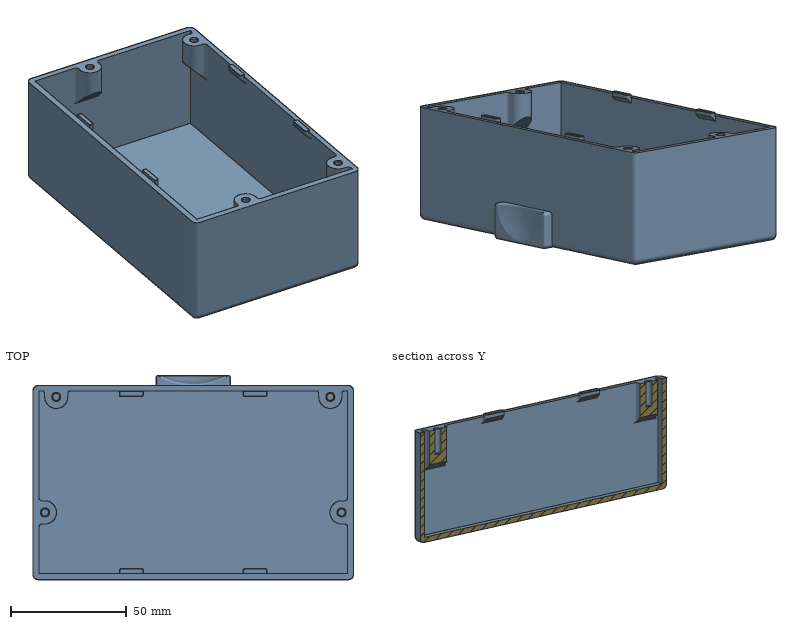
import cadquery as cq

length = 139.0
width = 84.2
rim_height = 49.8
edge_radius = 2.5
wall = 2.8
back_wall = 2.4
floor_thickness = 2.5

inner_back = width / 2 - back_wall
inner_front = -width / 2 + wall
inner_end = length / 2 - wall

boss_radius = 5.0
boss_foot = 1.3
boss_height = 18.1
hole_diameter = 3.0
hole_depth = 11.1
hole_chamfer = 0.4
back_boss_x = 59.4
back_boss_y = 37.1
end_boss_x = 64.2
end_boss_y = -12.9

tab_x = 26.8
tab_length = 10.4
tab_thickness = 2.5
tab_setback = 2.4
tab_rise = 1.4
tab_drop = 2.9
tab_corner = 0.8
tab_top_chamfer = 0.21
tab_foot = 0.7

grip_length = 32.2
grip_height = 15.8
grip_depth = 4.2
grip_side_radius = 1.4
grip_face_radius = 0.8
scoop_half_width = 14.5
scoop_sag = 3.6
scoop_lip_radius = 0.8


def make_shell():
    outside = (
        cq.Workplane("XY")
        .box(length, width, rim_height, centered=(True, True, False))
        .edges("|Z or <Z")
        .fillet(edge_radius)
    )
    cavity = (
        cq.Workplane("XY", origin=(0, (inner_front + inner_back) / 2, floor_thickness))
        .rect(2 * inner_end, inner_back - inner_front)
        .extrude(rim_height)
    )
    return outside.cut(cavity)


def make_grip():
    """Rounded block on the back wall with a spherical scoop, open at its top."""
    outer_face = width / 2 + grip_depth
    block = (
        cq.Workplane("XY", origin=(0, (inner_back + outer_face) / 2, 0))
        .box(grip_length, outer_face - inner_back, grip_height, centered=(True, True, False))
        .edges("|Y")
        .fillet(grip_side_radius)
        .faces(">Y")
        .edges()
        .fillet(grip_face_radius)
    )
    sphere_radius = (scoop_half_width**2 + scoop_sag**2) / (2 * scoop_sag)
    sphere_y = outer_face - scoop_sag + sphere_radius
    scoop = cq.Workplane("XY", origin=(0, sphere_y, grip_height)).sphere(sphere_radius)
    return block.cut(scoop).faces("%SPHERE").edges().fillet(scoop_lip_radius)


def hang_on_wall(column, half_width, foot, drop):
    """Finish a column standing on the inside of a wall that lies along local Y = 0.

    Rounded feet flare into the wall on both sides, and the underside slopes
    45 degrees down to the wall. Local +Y points into the box.
    """
    bottom = rim_height - drop
    for side in (-1, 1):
        start = cq.Workplane("XY", origin=(side * half_width, 0, bottom))
        corner = start.center(side * foot / 2, foot / 2).rect(foot, foot).extrude(drop)
        hollow = start.center(side * foot, foot).circle(foot).extrude(drop)
        column = column.union(corner.cut(hollow))
    span = half_width + foot
    below_slope = (
        cq.Workplane("YZ", origin=(-span, 0, bottom))
        .polyline([(0, 0), (drop, drop), (drop, 0)])
        .close()
        .extrude(2 * span)
    )
    return column.cut(below_slope)


def make_boss(wall_distance):
    """Half-round boss whose axis stands at wall_distance from the wall."""
    column = (
        cq.Workplane("XY", origin=(0, 0, rim_height - boss_height))
        .moveTo(-boss_radius, 0)
        .lineTo(-boss_radius, wall_distance)
        .threePointArc((0, wall_distance + boss_radius), (boss_radius, wall_distance))
        .lineTo(boss_radius, 0)
        .close()
        .extrude(boss_height)
    )
    return hang_on_wall(column, boss_radius, boss_foot, boss_height)


def make_tab():
    """Rounded tab standing above the rim, carried by a square-backed pad below it."""
    start = cq.Workplane("XY", origin=(0, 0, rim_height - tab_drop))
    plate = (
        start.center(0, tab_thickness / 2)
        .rect(tab_length, tab_thickness)
        .extrude(tab_drop + tab_rise)
        .edges("|Z")
        .fillet(tab_corner)
        .faces(">Z")
        .chamfer(tab_top_chamfer)
    )
    pad_back = start.center(0, tab_thickness / 4).rect(tab_length, tab_thickness / 2).extrude(tab_drop)
    return hang_on_wall(plate.union(pad_back), tab_length / 2, tab_foot, tab_drop)


def trim_for_front_wall(tab):
    """Cut the rear of the tab back to the inner face of the thicker front wall."""
    over_rim = (
        cq.Workplane("XY", origin=(0, 0, rim_height))
        .rect(tab_length, 2 * (wall - tab_setback))
        .extrude(tab_rise)
    )
    return tab.cut(over_rim)


def place(feature, x, y, turn):
    """Turn a feature about the Z axis, in degrees, then move it to (x, y)."""
    return feature.rotate((0, 0, 0), (0, 0, 1), turn).translate((x, y, 0))


def make_screw_hole():
    """Blind hole going down from the rim, with a chamfered mouth."""
    mouth = cq.Workplane("XY", origin=(0, 0, rim_height))
    radius = hole_diameter / 2
    bore = mouth.circle(radius).extrude(-hole_depth)
    chamfer = (
        mouth.circle(radius + hole_chamfer)
        .workplane(offset=-hole_chamfer)
        .circle(radius)
        .loft()
    )
    return bore.union(chamfer)


back_boss = make_boss(inner_back - back_boss_y)
end_boss = make_boss(inner_end - end_boss_x)
back_tab = make_tab()
front_tab = trim_for_front_wall(back_tab)
tab_y = width / 2 - tab_setback
screw_hole = make_screw_hole()

result = make_shell().union(make_grip())
for side in (-1, 1):
    result = (
        result.union(place(back_boss, side * back_boss_x, inner_back, 180))
        .union(place(end_boss, side * inner_end, end_boss_y, side * 90))
        .union(place(front_tab, side * tab_x, -tab_y, 0))
        .union(place(back_tab, side * tab_x, tab_y, 180))
        .cut(place(screw_hole, side * back_boss_x, back_boss_y, 0))
        .cut(place(screw_hole, side * end_boss_x, end_boss_y, 0))
    )